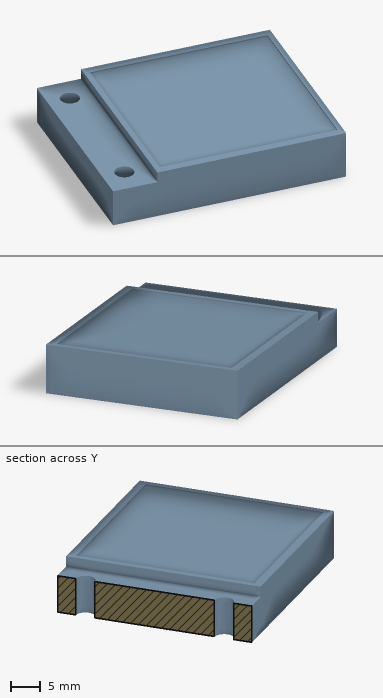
import cadquery as cq

width = 35.0
length = 42
height = 8.6

ledge_length = 8
ledge_drop = 1.9

recess_side = 32.0
recess_depth = 0.2

hole_diameter = 3.4
hole_spacing = 25.0
hole_from_front = 4.0

front_y = -length / 2
raised_centre_y = ledge_length / 2

result = cq.Workplane("XY").box(width, length, height, centered=(True, True, False))

ledge_cut = (
    cq.Workplane("XY", origin=(0, front_y, height - ledge_drop))
    .box(width, ledge_length, ledge_drop, centered=(True, False, False))
)
result = result.cut(ledge_cut)

recess = (
    cq.Workplane("XY", origin=(0, raised_centre_y, height - recess_depth))
    .box(recess_side, recess_side, recess_depth, centered=(True, True, False))
)
result = result.cut(recess)

hole_y = front_y + hole_from_front
holes = (
    cq.Workplane("XY")
    .pushPoints([(side * hole_spacing / 2, hole_y) for side in (-1, 1)])
    .circle(hole_diameter / 2)
    .extrude(height)
)
result = result.cut(holes)